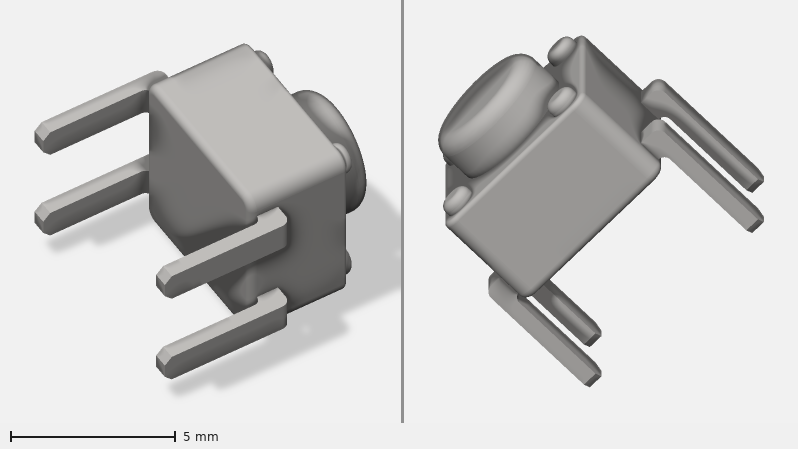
import cadquery as cq


body_side = 6.0
body_height = 3.5
body_corner_radius = 0.5
base_edge_radius = 0.25
cover_edge_radius = 0.15

button_diameter = 4.0
button_height = 1.5
button_edge_radius = 0.5

rivet_diameter = 1.0
rivet_height = 0.4
rivet_edge_radius = 0.25
rivet_offset = 2.25

pin_span = 7.5
pin_thickness = 0.5
pin_width = 1.0
pin_offset = 1.8
pin_length = 3.5
shoulder_top = 1.0
shoulder_height = 0.75
pin_outer_bend_radius = 0.3
pin_inner_bend_radius = 0.25
pin_tip_chamfer = 0.25
pin_embed = 0.5


def along_y(start):
    """Sketch plane at Y = start, extruding toward +Y, with local x = +X and local y = -Z."""
    return cq.Workplane("XZ", origin=(0, start, 0)).transformed(rotate=(180, 0, 0))


def make_housing():
    block = along_y(0).rect(body_side, body_side).extrude(body_height)
    block = block.edges("|Y").fillet(body_corner_radius)
    block = block.faces("<Y").edges().fillet(base_edge_radius)
    return block.faces(">Y").edges().fillet(cover_edge_radius)


def make_round_head(diameter, height, edge_radius, x=0, z=0):
    """Cylinder standing on the cover with a rounded free end."""
    head = along_y(body_height).circle(diameter / 2).extrude(height)
    head = head.faces(">Y").edges().fillet(edge_radius)
    return head.translate((x, 0, z))


def make_pin(z):
    """L-shaped pin on the +X side, centred at height z, with its shoulder embedded in the housing."""
    outer_x = pin_span / 2
    inner_x = outer_x - pin_thickness
    root_x = body_side / 2 - pin_embed
    shoulder_bottom = shoulder_top - shoulder_height
    pin = (
        cq.Workplane("XY")
        .moveTo(root_x, shoulder_bottom)
        .lineTo(inner_x, shoulder_bottom)
        .lineTo(inner_x, -pin_length)
        .lineTo(outer_x, -pin_length)
        .lineTo(outer_x, shoulder_top)
        .lineTo(root_x, shoulder_top)
        .close()
        .extrude(pin_width / 2, both=True)
    )
    outer_bend = cq.NearestToPointSelector((outer_x, shoulder_top, 0))
    pin = pin.edges(outer_bend).fillet(pin_outer_bend_radius)
    inner_bend = cq.NearestToPointSelector((inner_x, shoulder_bottom, 0))
    pin = pin.edges(inner_bend).fillet(pin_inner_bend_radius)
    pin = pin.faces("<Y").edges("|X").chamfer(pin_tip_chamfer)
    return pin.translate((0, 0, z))


result = make_housing()
result = result.union(make_round_head(button_diameter, button_height, button_edge_radius))
for z_side in (-1, 1):
    pin = make_pin(z_side * pin_offset)
    result = result.union(pin).union(pin.mirror("YZ"))
    for x_side in (-1, 1):
        rivet = make_round_head(
            rivet_diameter,
            rivet_height,
            rivet_edge_radius,
            x_side * rivet_offset,
            z_side * rivet_offset,
        )
        result = result.union(rivet)